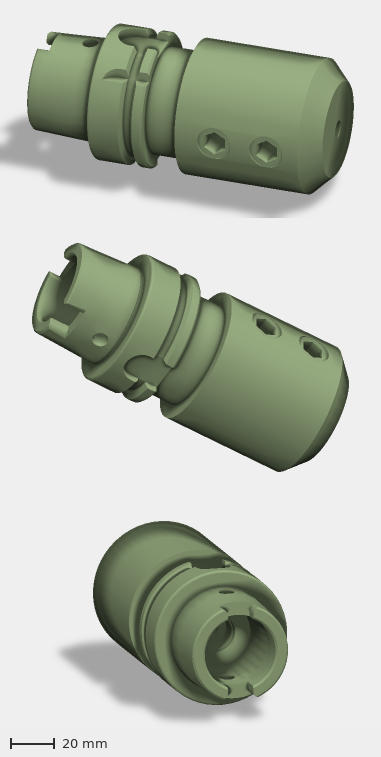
import cadquery as cq
import math


total_length = 142.0
taper_end = 30.0
flange_start = 31.7
flange_end = 58.0
body_start = 74.0

taper_tip_radius = 22.7
taper_base_radius = 24.1
tip_chamfer = 0.9
relief_radius = 23.7
relief_slope = 0.4

flange_radius = 31.5
flange_rim_fillet = 1.1
flange_back_chamfer = 1.0
groove_start = 46.7
groove_end = 53.2
groove_radius = 27.5
groove_flank_length = 1.3
groove_flank_radius = 29.1

neck_radius = 25.0
body_radius = flange_radius
body_chamfer = 9.1

cavity_mouth_radius = 16.8
cavity_floor_radius = 16.2
cavity_chamfer = 0.9
cavity_taper_start = 12.5
cavity_depth = 40.0
counterbore_radius = 9.0
counterbore_depth = 2.8
tube_bore_radius = 8.1
tube_bore_depth = 8.5
coolant_radius = 4.1

slot_half_width = 6.0
slot_shoulder_height = 21.2
slot_corner_radius = 3.1
top_slot_depth = 6.1
bottom_slot_depth = 9.8

cross_hole_x = 23.0
cross_hole_radius = 3.7

keyway_half_width = 8.0
keyway_floor = 26.4
keyway_round_x = 44.7
notch_wall = 19.9
notch_round_x = 43.9

screw_radius = 8.0
screw_length = 19.2
screw_head = 30.4
screw_positions = (92.9, 117.9)
hex_across_flats = 10.0
hex_depth = 8.5
drill_point_depth = 2.8


def outer_shape():
    front_flank_foot = groove_start + groove_flank_length
    back_flank_foot = groove_end - groove_flank_length
    fillet_inset = flange_rim_fillet * (1 - math.cos(math.pi / 4))
    shank = [
        (0, 0),
        (0, taper_tip_radius - tip_chamfer),
        (tip_chamfer, taper_tip_radius),
        (taper_end, taper_base_radius),
        (taper_end + relief_slope, relief_radius),
        (flange_start - relief_slope, relief_radius),
        (flange_start, relief_radius + relief_slope),
        (flange_start, flange_radius - flange_rim_fillet),
    ]
    rim_fillet_middle = (flange_start + fillet_inset, flange_radius - fillet_inset)
    rim_fillet_end = (flange_start + flange_rim_fillet, flange_radius)
    flange_and_body = [
        rim_fillet_end,
        (groove_start, flange_radius),
        (front_flank_foot, groove_flank_radius),
        (front_flank_foot, groove_radius),
        (back_flank_foot, groove_radius),
        (back_flank_foot, groove_flank_radius),
        (groove_end, flange_radius),
        (flange_end - flange_back_chamfer, flange_radius),
        (flange_end, flange_radius - flange_back_chamfer),
        (flange_end, neck_radius),
        (body_start, neck_radius),
        (body_start, body_radius),
        (total_length - body_chamfer, body_radius),
        (total_length, body_radius - body_chamfer),
        (total_length, 0),
    ]
    return (
        cq.Workplane("XY")
        .polyline(shank)
        .threePointArc(rim_fillet_middle, rim_fillet_end)
        .polyline(flange_and_body)
        .close()
        .revolve(360, (0, 0, 0), (1, 0, 0))
    )


def inner_bore():
    counterbore_end = cavity_depth + counterbore_depth
    tube_bore_end = counterbore_end + tube_bore_depth
    profile = [
        (0, 0),
        (0, cavity_mouth_radius + cavity_chamfer),
        (cavity_chamfer, cavity_mouth_radius),
        (cavity_taper_start, cavity_mouth_radius),
        (cavity_depth, cavity_floor_radius),
        (cavity_depth, counterbore_radius),
        (counterbore_end, counterbore_radius),
        (counterbore_end, tube_bore_radius),
        (tube_bore_end, tube_bore_radius),
        (tube_bore_end, coolant_radius),
        (total_length, coolant_radius),
        (total_length, 0),
    ]
    return cq.Workplane("XY").polyline(profile).close().revolve(360, (0, 0, 0), (1, 0, 0))


def driving_slot(depth, side):
    """Slot across the shank tip, on the +Z side for side = 1 and the -Z side for side = -1.

    The side walls round over into flat shoulders that run out to the taper.
    """
    wall_top = slot_shoulder_height - slot_corner_radius
    shoulder_y = slot_half_width + slot_corner_radius
    corner_y = shoulder_y - slot_corner_radius * math.cos(math.pi / 4)
    corner_z = wall_top + slot_corner_radius * math.sin(math.pi / 4)
    reach = taper_base_radius
    return (
        cq.Workplane("YZ")
        .moveTo(-slot_half_width, 0)
        .lineTo(-slot_half_width, side * wall_top)
        .threePointArc((-corner_y, side * corner_z), (-shoulder_y, side * slot_shoulder_height))
        .lineTo(-reach, side * slot_shoulder_height)
        .lineTo(-reach, side * reach)
        .lineTo(reach, side * reach)
        .lineTo(reach, side * slot_shoulder_height)
        .lineTo(shoulder_y, side * slot_shoulder_height)
        .threePointArc((corner_y, side * corner_z), (slot_half_width, side * wall_top))
        .lineTo(slot_half_width, 0)
        .close()
        .extrude(depth)
    )


def round_ended_cutter(round_x, y_center, floor, height):
    """Slot cutter open towards the back of the flange, with a round end centred at round_x."""
    length = flange_end - round_x
    plane = cq.Workplane("XY", origin=(round_x, y_center, floor))
    straight = plane.rect(length, 2 * keyway_half_width).extrude(height).translate((length / 2, 0, 0))
    round_end = plane.circle(keyway_half_width).extrude(height)
    return round_end.union(straight)


def flange_keyways():
    height = flange_radius - keyway_floor
    top = round_ended_cutter(keyway_round_x, 0, keyway_floor, height)
    return top.union(top.mirror("XY"))


def orientation_notch():
    y_center = -notch_wall - keyway_half_width
    return round_ended_cutter(notch_round_x, y_center, notch_wall, flange_radius - notch_wall)


def cross_hole():
    plane = cq.Workplane("XY", origin=(cross_hole_x, 0, -taper_base_radius))
    return plane.circle(cross_hole_radius).extrude(2 * taper_base_radius)


def screw_hole(x):
    """Radial hole running from the screw's inner end out through the -Y side of the body."""
    inner_end = screw_head - screw_length
    plane = cq.Workplane("XZ", origin=(x, -inner_end, 0))
    return plane.circle(screw_radius).extrude(body_radius - inner_end)


def set_screw(x):
    corner_radius = hex_across_flats / math.sqrt(3)
    blank = (
        cq.Workplane("XZ", origin=(x, -screw_head, 0))
        .circle(screw_radius)
        .extrude(-screw_length)
    )
    socket = (
        cq.Workplane("XZ", origin=(x, -screw_head, 0))
        .transformed(rotate=(0, 0, 90))
        .polygon(6, 2 * corner_radius)
        .extrude(-hex_depth - drill_point_depth)
    )
    drill = (
        cq.Workplane("XY")
        .polyline([
            (x, -screw_head),
            (x + corner_radius, -screw_head),
            (x + corner_radius, -screw_head + hex_depth),
            (x, -screw_head + hex_depth + drill_point_depth),
        ])
        .close()
        .revolve(360, (x, 0, 0), (x, 1, 0))
    )
    return blank.cut(socket.intersect(drill))


def tool_holder():
    body = outer_shape().cut(inner_bore())
    body = body.cut(driving_slot(top_slot_depth, 1))
    body = body.cut(driving_slot(bottom_slot_depth, -1))
    body = body.cut(cross_hole())
    body = body.cut(flange_keyways())
    body = body.cut(orientation_notch())
    for x in screw_positions:
        body = body.cut(screw_hole(x))
    return body


holder = tool_holder()
set_screws = [set_screw(x).val() for x in screw_positions]

result = cq.Compound.makeCompound([holder.val(), *set_screws])